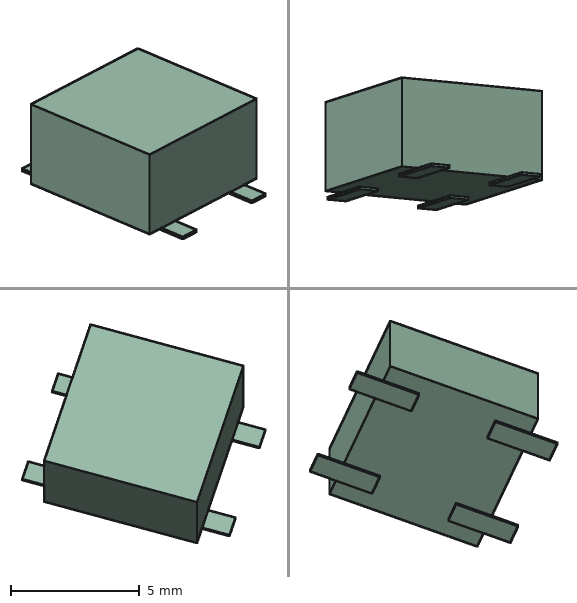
import cadquery as cq

overall_length = 8.4
body_side = 6.2
overall_height = 3.6
lead_length = 2.6
lead_width = 0.8
lead_thickness = 0.1
lead_pitch = 4.0

body_height = overall_height - lead_thickness
lead_center_x = (overall_length - lead_length) / 2
lead_center_y = lead_pitch / 2


def make_body():
    """Plain block that rests on top of the leads."""
    return (
        cq.Workplane("XY")
        .workplane(offset=lead_thickness)
        .rect(body_side, body_side)
        .extrude(body_height)
    )


def make_lead(center_x, center_y):
    """Flat strip on Z = 0, partly under the body and partly outside it."""
    return (
        cq.Workplane("XY")
        .center(center_x, center_y)
        .rect(lead_length, lead_width)
        .extrude(lead_thickness)
    )


body = make_body()

leads = []
for x_side in (-1, 1):
    for y_side in (-1, 1):
        leads.append(make_lead(x_side * lead_center_x, y_side * lead_center_y))

result = cq.Compound.makeCompound([body.val(), *[lead.val() for lead in leads]])